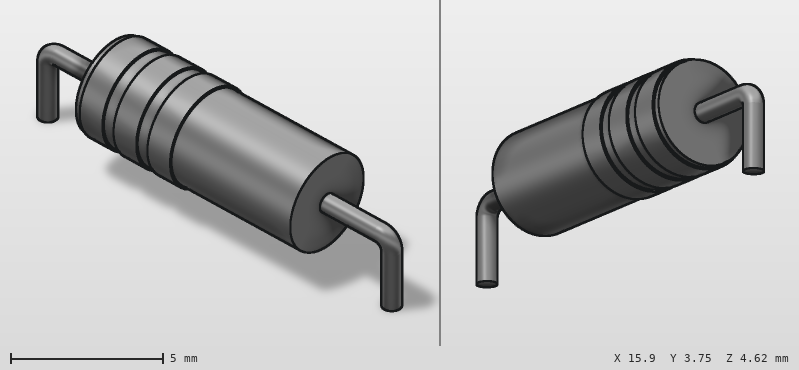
import cadquery as cq

overall_length = 15.94
overall_height = 4.62

body_length = 9.5
body_diameter = 3.6

band_diameter = 3.75
band_width = 1.0
band_pitch = 1.5
band_count = 3
first_band_offset = 0.24

lead_diameter = 0.7
bend_radius = 0.5

lead_x = (overall_length - lead_diameter) / 2
lead_bottom = band_diameter / 2 - overall_height


def cylinder_along_x(start, length, diameter):
    """Cylinder on the body axis, running towards +X from start."""
    return cq.Workplane("YZ", origin=(start, 0, 0)).circle(diameter / 2).extrude(length)


def make_wire():
    """One continuous wire through the body, bent down at both ends."""
    bend_start = lead_x - bend_radius
    path = (
        cq.Workplane("XZ")
        .moveTo(-lead_x, lead_bottom)
        .lineTo(-lead_x, -bend_radius)
        .radiusArc((-bend_start, 0), bend_radius)
        .lineTo(bend_start, 0)
        .radiusArc((lead_x, -bend_radius), bend_radius)
        .lineTo(lead_x, lead_bottom)
    )
    foot = cq.Workplane("XY", origin=(-lead_x, 0, lead_bottom)).circle(lead_diameter / 2)
    return foot.sweep(path)


body_start = -body_length / 2
result = cylinder_along_x(body_start, body_length, body_diameter)

for index in range(band_count):
    band_start = body_start + first_band_offset + index * band_pitch
    result = result.union(cylinder_along_x(band_start, band_width, band_diameter))

result = result.union(make_wire())